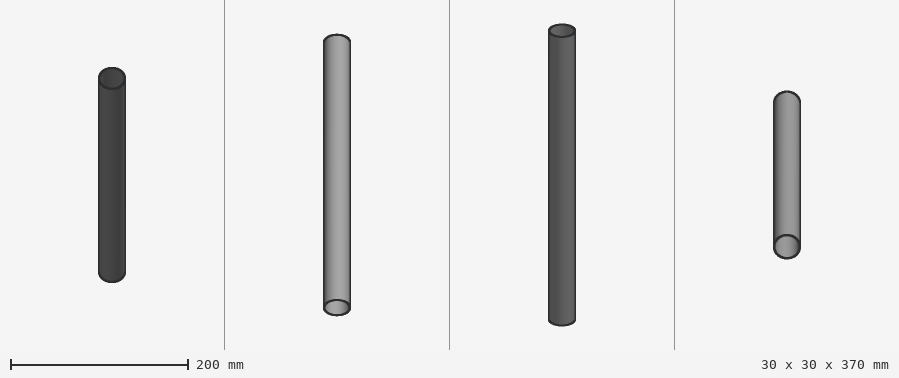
import cadquery as cq

length = 370.0
outer_diameter = 30.0
wall_thickness = 1.0
inner_diameter = outer_diameter - 2 * wall_thickness

result = (
    cq.Workplane("XY")
    .circle(outer_diameter / 2)
    .circle(inner_diameter / 2)
    .extrude(length)
)